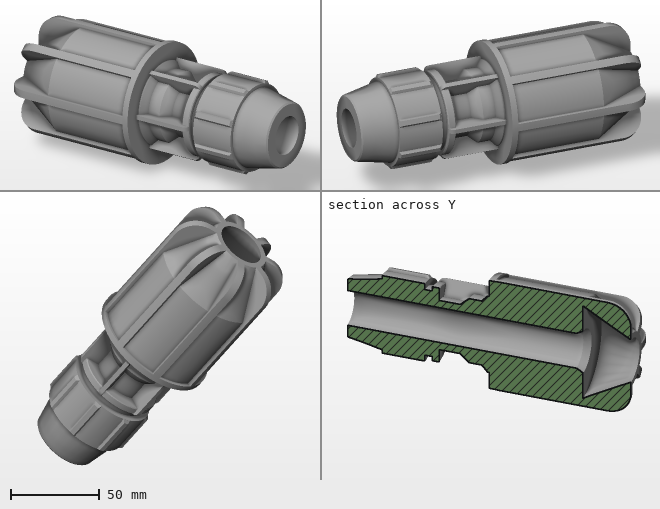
import cadquery as cq
import math

total_length = 170.0

hub_radius = 17.0
barrel_radius = 33.3
cone_end = 28.7
flange_start = 81.6
flange_end = 85.2
flange_end_radius = 35.4

wing_count = 8
wing_radius = 35.5
wing_thickness = 4.6
wing_corner_radius = 14.1
wing_drop_start = 78.9

rim_slope = (wing_radius - flange_end_radius) / (flange_end - wing_drop_start)
flange_start_radius = flange_end_radius + rim_slope * (flange_end - flange_start)

collar_radius = 25.0
collar_end = 86.0
thick_neck_radius = 21.0
thick_neck_start = 89.5
thick_neck_end = 96.9
thin_neck_radius = 32.5 / 2
thin_neck_start = 102.3

disc_start = 114.8
disc_end = 119.3
disc_radius = 24.3
disc_chamfer = 0.5
groove_radius = 43.2 / 2

plate_count = 6
plate_thickness = 2.5
plate_radius = 26.7
plate_corner_radius = 3.2

nut_start = 123.5
nut_end = 149.3
nut_radius = 25.5
grip_count = 8
grip_base_width = 4.6
grip_top_radius = 27.0
grip_top_width = 2.9
grip_front_slope = 1.5
grip_rear_slope = 0.8

nose_start_radius = 23.3
nose_end_radius = 19.2
nose_chamfer = 0.8

bore_entry_radius = 13.6
step_position = 28.7
step_radius = 30.0
throat_radius = 13.6
throat_length = 4.0
bore_radius = 22.5 / 2


def turned(points):
    """Revolve an (x, radius) outline about the X axis."""
    return cq.Workplane("XY").polyline(points).close().revolve(360, (0, 0, 0), (1, 0, 0))


def repeat_around_axis(solid, count, first_angle):
    """Union of evenly spaced copies of a solid that stands on the +Y side of the X axis."""
    copies = solid.rotate((0, 0, 0), (1, 0, 0), first_angle)
    for index in range(1, count):
        angle = first_angle + index * 360 / count
        copies = copies.union(solid.rotate((0, 0, 0), (1, 0, 0), angle))
    return copies


def make_body():
    return turned([
        (0, 0),
        (0, hub_radius),
        (cone_end, barrel_radius),
        (flange_start, barrel_radius),
        (flange_start, flange_start_radius),
        (flange_end, flange_end_radius),
        (flange_end, collar_radius),
        (collar_end, collar_radius),
        (thick_neck_start, thick_neck_radius),
        (thick_neck_end, thick_neck_radius),
        (thin_neck_start, thin_neck_radius),
        (disc_start, thin_neck_radius),
        (disc_start, disc_radius - disc_chamfer),
        (disc_start + disc_chamfer, disc_radius),
        (disc_end - disc_chamfer, disc_radius),
        (disc_end, disc_radius - disc_chamfer),
        (disc_end, groove_radius),
        (nut_start, groove_radius),
        (nut_start, nut_radius),
        (nut_end, nut_radius),
        (nut_end, nose_start_radius),
        (total_length - nose_chamfer, nose_end_radius),
        (total_length, nose_end_radius - nose_chamfer),
        (total_length, 0),
    ])


def make_wings():
    arc_offset = wing_corner_radius * (1 - math.sqrt(0.5))
    envelope = (
        cq.Workplane("XY")
        .lineTo(0, wing_radius - wing_corner_radius)
        .threePointArc((arc_offset, wing_radius - arc_offset), (wing_corner_radius, wing_radius))
        .lineTo(wing_drop_start, wing_radius)
        .lineTo(flange_end, flange_end_radius)
        .lineTo(flange_end, 0)
        .close()
        .revolve(360, (0, 0, 0), (1, 0, 0))
    )
    slab = cq.Workplane("XY").box(flange_end, wing_radius, wing_thickness, centered=(False, False, True))
    return envelope.intersect(repeat_around_axis(slab, wing_count, 0))


def make_plates():
    plate = (
        cq.Workplane("XY")
        .moveTo(flange_end, bore_entry_radius)
        .lineTo(flange_end, plate_radius)
        .lineTo(disc_end - plate_corner_radius, plate_radius)
        .radiusArc((disc_end, plate_radius - plate_corner_radius), plate_corner_radius)
        .lineTo(disc_end, bore_entry_radius)
        .close()
        .extrude(plate_thickness / 2, both=True)
    )
    return repeat_around_axis(plate, plate_count, 0)


def make_grips():
    base_height = math.sqrt(nut_radius**2 - (grip_base_width / 2) ** 2)
    top_shift = (grip_front_slope - grip_rear_slope) / 2
    top_length = nut_end - nut_start - grip_front_slope - grip_rear_slope
    grip = (
        cq.Workplane("XZ", origin=((nut_start + nut_end) / 2, base_height, 0))
        .rect(nut_end - nut_start, grip_base_width)
        .workplane(offset=base_height - grip_top_radius)
        .center(top_shift, 0)
        .rect(top_length, grip_top_width)
        .loft(ruled=True)
    )
    return repeat_around_axis(grip, grip_count, 180 / grip_count)


def make_bore():
    return turned([
        (0, 0),
        (0, bore_entry_radius),
        (step_position, step_radius),
        (step_position, throat_radius),
        (step_position + throat_length, bore_radius),
        (total_length, bore_radius),
        (total_length, 0),
    ])


result = make_body().union(make_wings()).union(make_plates()).union(make_grips()).cut(make_bore())